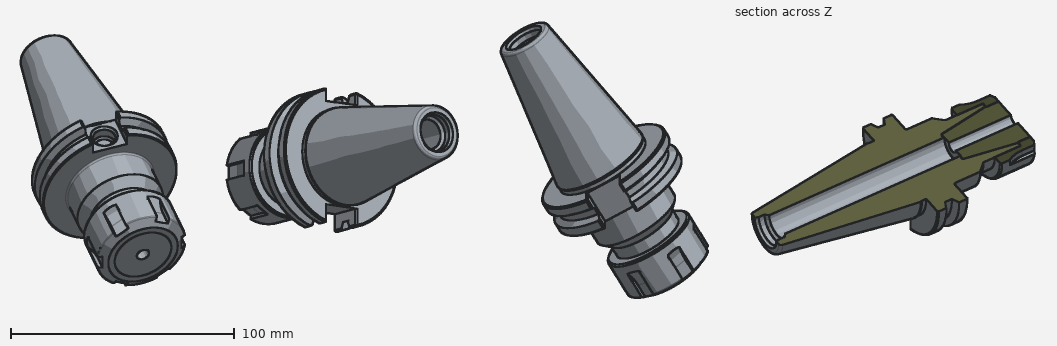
import cadquery as cq
import math

LENGTH = 131.8
SHANK_TAPER_END = 68.1
RELIEF_START = 68.9
FLANGE_START = 71.2
FLANGE_END = 87.1
BODY_END = 100.8
NECK_START = 105.3
NUT_START = 111.2
NOSE_END = 125.2
COLLET_START = 98.8

SHANK_SMALL_RADIUS = 12.4
SHANK_END_ROUNDING = 1.3
SHANK_LARGE_RADIUS = 44.5 / 2
RELIEF_RADIUS = 22.0

FLANGE_RADIUS = 63.5 / 2
FLANGE_FRONT_CHAMFER = 0.4
FLANGE_REAR_CHAMFER = 0.7
GROOVE_RADIUS = 28.2
GROOVE_MOUTH_WIDTH = 6.7
GROOVE_FLOOR_WIDTH = 3.4
SLOT_HALF_WIDTH = 8.0
SLOT_CHAMFER = 0.8
TOP_SLOT_FLOOR = 24.8
BOTTOM_SLOT_FLOOR = 22.4

HOLE_MOUTH_RADIUS = 12.1 / 2
HOLE_RADIUS = 10.0 / 2
HOLE_STEP_RADIUS = 8.0 / 2
HOLE_CHAMFER_DEPTH = 1.0
HOLE_DEPTH = 5.3
HOLE_POINT_HALF_ANGLE = 66.0

BODY_RADIUS = 40.6 / 2
BODY_FILLET = 0.8
NECK_RADIUS = 32.0 / 2

BORE_MOUTH_RADIUS = 18.0 / 2
COUNTERBORE_RADIUS = 16.5 / 2
BORE_RADIUS = 13.5 / 2
BORE_MOUTH_DEPTH = 1.7
COUNTERBORE_DEPTH = 4.7

COLLET_REAR_RADIUS = 18.0 / 2
COLLET_FRONT_RADIUS = 26.9 / 2
COLLET_BORE_RADIUS = 5.8 / 2

NUT_RADIUS = 42.0 / 2
NUT_REAR_RADIUS = 40.5 / 2
NUT_FRONT_RADIUS = 33.0 / 2
NUT_FRONT_CHAMFER_LENGTH = 2.4
NUT_EDGE_ROUNDING = 0.5
NUT_SLOT_COUNT = 6
NUT_SLOT_WIDTH = 6.7
NUT_SLOT_FLOOR_RADIUS = 18.7
NUT_SLOT_FLAT_START = 123.9
NUT_SLOT_CUTTER_RADIUS = 14.8
CUT_CLEARANCE = 1.3


def revolve_about_x(profile):
    """Revolve a closed profile drawn as (x, radius) about the X axis."""
    return profile.close().revolve(360, (0, 0, 0), (1, 0, 0))


def make_holder_blank():
    groove_centre = (FLANGE_START + FLANGE_END) / 2
    groove_mouth = GROOVE_MOUTH_WIDTH / 2
    groove_floor = GROOVE_FLOOR_WIDTH / 2
    rounding_sag = SHANK_END_ROUNDING * (1 - math.sqrt(0.5))
    profile = (
        cq.Workplane("XY")
        .moveTo(0, 0)
        .lineTo(0, SHANK_SMALL_RADIUS - SHANK_END_ROUNDING)
        .threePointArc(
            (rounding_sag, SHANK_SMALL_RADIUS - rounding_sag),
            (SHANK_END_ROUNDING, SHANK_SMALL_RADIUS),
        )
        .lineTo(SHANK_TAPER_END, SHANK_LARGE_RADIUS)
        .lineTo(RELIEF_START, RELIEF_RADIUS)
        .lineTo(FLANGE_START, RELIEF_RADIUS)
        .lineTo(FLANGE_START, FLANGE_RADIUS - FLANGE_REAR_CHAMFER)
        .lineTo(FLANGE_START + FLANGE_REAR_CHAMFER, FLANGE_RADIUS)
        .lineTo(groove_centre - groove_mouth, FLANGE_RADIUS)
        .lineTo(groove_centre - groove_floor, GROOVE_RADIUS)
        .lineTo(groove_centre + groove_floor, GROOVE_RADIUS)
        .lineTo(groove_centre + groove_mouth, FLANGE_RADIUS)
        .lineTo(FLANGE_END - FLANGE_FRONT_CHAMFER, FLANGE_RADIUS)
        .lineTo(FLANGE_END, FLANGE_RADIUS - FLANGE_FRONT_CHAMFER)
        .lineTo(FLANGE_END, BODY_RADIUS + BODY_FILLET)
        .radiusArc((FLANGE_END + BODY_FILLET, BODY_RADIUS), -BODY_FILLET)
        .lineTo(BODY_END, BODY_RADIUS)
        .lineTo(NECK_START, NECK_RADIUS)
        .lineTo(NOSE_END, NECK_RADIUS)
        .lineTo(NOSE_END, 0)
    )
    return revolve_about_x(profile)


def make_drawbar_bore():
    counterbore_end = COUNTERBORE_DEPTH + COUNTERBORE_RADIUS - BORE_RADIUS
    profile = cq.Workplane("XY").polyline(
        [
            (0, 0),
            (0, BORE_MOUTH_RADIUS),
            (BORE_MOUTH_DEPTH, COUNTERBORE_RADIUS),
            (COUNTERBORE_DEPTH, COUNTERBORE_RADIUS),
            (counterbore_end, BORE_RADIUS),
            (COLLET_START, BORE_RADIUS),
            (COLLET_START, 0),
        ]
    )
    return revolve_about_x(profile)


def make_collet_blank():
    """Solid outline of the collet, which is also the shape of its seat."""
    profile = cq.Workplane("XY").polyline(
        [
            (COLLET_START, 0),
            (COLLET_START, COLLET_REAR_RADIUS),
            (NOSE_END, COLLET_FRONT_RADIUS),
            (LENGTH, COLLET_FRONT_RADIUS),
            (LENGTH, 0),
        ]
    )
    return revolve_about_x(profile)


def make_drive_slot(floor):
    """Cutter for a +Z drive slot whose side edges are chamfered."""
    inner = SLOT_HALF_WIDTH
    outer = inner + SLOT_CHAMFER
    flange_length = FLANGE_END - FLANGE_START
    rim = math.sqrt(FLANGE_RADIUS**2 - outer**2)
    channel = (
        cq.Workplane("YZ", origin=(FLANGE_START, 0, 0))
        .polyline(
            [
                (-inner, floor),
                (inner, floor),
                (inner, rim - SLOT_CHAMFER),
                (outer, rim),
                (outer, FLANGE_RADIUS),
                (-outer, FLANGE_RADIUS),
                (-outer, rim),
                (-inner, rim - SLOT_CHAMFER),
            ]
        )
        .close()
        .extrude(flange_length)
    )
    flared_rear_end = (
        cq.Workplane("XY", origin=(0, 0, floor))
        .polyline(
            [
                (FLANGE_START, -outer),
                (FLANGE_START + SLOT_CHAMFER, -inner),
                (FLANGE_START + SLOT_CHAMFER, inner),
                (FLANGE_START, outer),
            ]
        )
        .close()
        .extrude(FLANGE_RADIUS - floor)
    )
    return channel.union(flared_rear_end)


def make_slot_hole():
    """Cutter for the blind hole, with a conical bottom, in the top slot floor."""
    bottom = TOP_SLOT_FLOOR - HOLE_DEPTH
    step_bottom = bottom - (HOLE_RADIUS - HOLE_STEP_RADIUS)
    point = step_bottom - HOLE_STEP_RADIUS / math.tan(math.radians(HOLE_POINT_HALF_ANGLE))
    return (
        cq.Workplane("XZ")
        .polyline(
            [
                (0, TOP_SLOT_FLOOR),
                (HOLE_MOUTH_RADIUS, TOP_SLOT_FLOOR),
                (HOLE_RADIUS, TOP_SLOT_FLOOR - HOLE_CHAMFER_DEPTH),
                (HOLE_RADIUS, bottom),
                (HOLE_STEP_RADIUS, step_bottom),
                (0, point),
            ]
        )
        .close()
        .revolve(360, (0, 0, 0), (0, 1, 0))
        .translate(((FLANGE_START + FLANGE_END) / 2, 0, 0))
    )


def make_holder():
    bottom_slot = make_drive_slot(BOTTOM_SLOT_FLOOR).rotate((0, 0, 0), (1, 0, 0), 180)
    return (
        make_holder_blank()
        .cut(make_drawbar_bore())
        .cut(make_collet_blank())
        .cut(make_drive_slot(TOP_SLOT_FLOOR))
        .cut(bottom_slot)
        .cut(make_slot_hole())
    )


def make_collet():
    bore = (
        cq.Workplane("YZ", origin=(COLLET_START, 0, 0))
        .circle(COLLET_BORE_RADIUS)
        .extrude(LENGTH - COLLET_START)
    )
    return make_collet_blank().cut(bore)


def make_nut_slot():
    """Cutter for the -Y spanner slot, whose floor curves out to the rim at the rear."""
    clear_radius = NUT_RADIUS + CUT_CLEARANCE
    centre_radius = NUT_SLOT_FLOOR_RADIUS + NUT_SLOT_CUTTER_RADIUS
    run_out = math.sqrt(NUT_SLOT_CUTTER_RADIUS**2 - (centre_radius - clear_radius) ** 2)
    return (
        cq.Workplane("XY")
        .moveTo(LENGTH, -clear_radius)
        .lineTo(LENGTH, -NUT_SLOT_FLOOR_RADIUS)
        .lineTo(NUT_SLOT_FLAT_START, -NUT_SLOT_FLOOR_RADIUS)
        .radiusArc((NUT_SLOT_FLAT_START - run_out, -clear_radius), -NUT_SLOT_CUTTER_RADIUS)
        .close()
        .extrude(NUT_SLOT_WIDTH / 2, both=True)
    )


def make_nut():
    rear_chamfer = NUT_RADIUS - NUT_REAR_RADIUS
    front_corner = LENGTH - NUT_FRONT_CHAMFER_LENGTH
    chamfer_angle = math.atan2(NUT_RADIUS - NUT_FRONT_RADIUS, NUT_FRONT_CHAMFER_LENGTH)
    tangent = NUT_EDGE_ROUNDING * math.tan(chamfer_angle / 2)
    rounding_end = (
        front_corner + tangent * math.cos(chamfer_angle),
        NUT_RADIUS - tangent * math.sin(chamfer_angle),
    )
    profile = (
        cq.Workplane("XY")
        .moveTo(NUT_START, NECK_RADIUS)
        .lineTo(NUT_START, NUT_REAR_RADIUS)
        .lineTo(NUT_START + rear_chamfer, NUT_RADIUS)
        .lineTo(front_corner - tangent, NUT_RADIUS)
        .radiusArc(rounding_end, NUT_EDGE_ROUNDING)
        .lineTo(LENGTH, NUT_FRONT_RADIUS)
        .lineTo(LENGTH, COLLET_FRONT_RADIUS)
        .lineTo(NOSE_END, COLLET_FRONT_RADIUS)
        .lineTo(NOSE_END, NECK_RADIUS)
    )
    nut = revolve_about_x(profile)
    for index in range(NUT_SLOT_COUNT):
        angle = index * 360 / NUT_SLOT_COUNT
        nut = nut.cut(make_nut_slot().rotate((0, 0, 0), (1, 0, 0), angle))
    return nut


holder = make_holder()
collet = make_collet()
nut = make_nut()

result = cq.Compound.makeCompound([holder.val(), collet.val(), nut.val()])